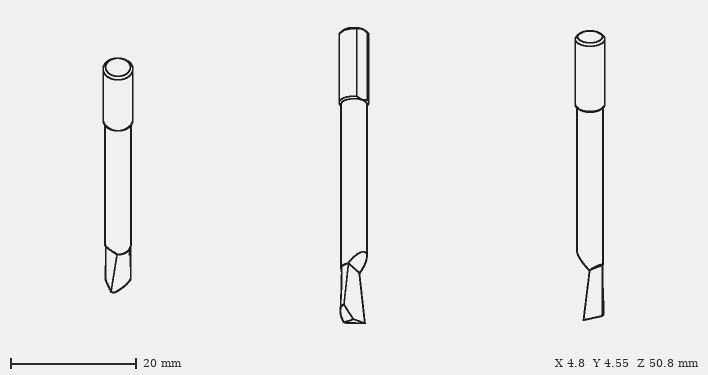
import cadquery as cq
import math

total_length = 50.8
shank_radius = 2.4
shank_length = 12.65
shank_flat_y = 2.15
top_chamfer = 0.4
neck_radius = 2.1
shoulder_chamfer = shank_radius - neck_radius

head_length = 9.15
tip_radius = 2.3
cutting_corner_radius = 2.25
root_scale = 0.88
twist_angle = 26.0
heel_angle = -95.0
tip_clearance_angle = 8.0
corner_cut_start_x = 0.15
end_edge_rise = 0.1
corner_cut_height = 2.15

flute_runout_angle = 48.0
tool_size = 4 * shank_radius


def polar(radius, degrees):
    angle = math.radians(degrees)
    return radius * math.cos(angle), radius * math.sin(angle)


def head_section(z, scale, rotation):
    """Half-round profile with a rake edge along a diameter and a flat relief side."""
    radius = tip_radius * scale
    cutting_corner = polar(cutting_corner_radius * scale, 180 + rotation)
    heel = polar(radius, heel_angle + rotation)
    arc_middle = polar(radius, heel_angle / 2 + rotation)
    arc_end = polar(radius, rotation)
    profile = cq.Workplane("XY", origin=(0, 0, z)).moveTo(*cutting_corner).lineTo(*heel)
    return profile.threePointArc(arc_middle, arc_end).close().val()


def runout_cutter(start, end):
    """Wedge rising outward from the line start-end, to the right of its direction."""
    dx = end[0] - start[0]
    dy = end[1] - start[1]
    length = math.hypot(dx, dy)
    outward = (dy / length, -dx / length, 0)
    along_reversed = (-dx / length, -dy / length, 0)
    plane = cq.Plane(origin=(*start, head_length), xDir=outward, normal=along_reversed)
    rise = tool_size * math.tan(math.radians(flute_runout_angle))
    triangle = cq.Workplane(plane).polyline([(0, 0), (tool_size, 0), (tool_size, rise)]).close()
    return triangle.extrude(tool_size, both=True)


def make_shank():
    shank = cq.Workplane("XY", origin=(0, 0, total_length - shank_length))
    shank = shank.circle(shank_radius).extrude(shank_length)
    shank = shank.faces(">Z").chamfer(top_chamfer).faces("<Z").chamfer(shoulder_chamfer)
    flat_cutter = cq.Workplane("XY").box(
        tool_size, tool_size, total_length, centered=(True, False, False)
    )
    return shank.cut(flat_cutter.translate((0, shank_flat_y, 0)))


def make_neck():
    neck_length = total_length - shank_length - head_length
    neck = cq.Workplane("XY", origin=(0, 0, head_length)).circle(neck_radius).extrude(neck_length)
    corner = polar(cutting_corner_radius * root_scale, 180 + twist_angle)
    heel = polar(tip_radius * root_scale, heel_angle + twist_angle)
    rake_end = polar(tip_radius * root_scale, twist_angle)
    return neck.cut(runout_cutter(rake_end, corner)).cut(runout_cutter(corner, heel))


def make_head():
    tip = head_section(0, 1, 0)
    root = head_section(head_length, root_scale, twist_angle)
    head = cq.Workplane(obj=cq.Solid.makeLoft([tip, root], True))

    clearance_rise = tool_size * math.tan(math.radians(tip_clearance_angle))
    clearance = cq.Workplane("YZ").polyline([(0, 0), (-tool_size, 0), (-tool_size, clearance_rise)])
    head = head.cut(clearance.close().extrude(tool_size, both=True))

    slope = (corner_cut_height - end_edge_rise) / (tip_radius - corner_cut_start_x)
    far_x = corner_cut_start_x + tool_size
    corner_cut = cq.Workplane("XZ").polyline(
        [
            (-cutting_corner_radius, 0),
            (corner_cut_start_x, end_edge_rise),
            (far_x, end_edge_rise + tool_size * slope),
            (far_x, 0),
        ]
    )
    return head.cut(corner_cut.close().extrude(tool_size, both=True))


result = make_shank().union(make_neck()).union(make_head())